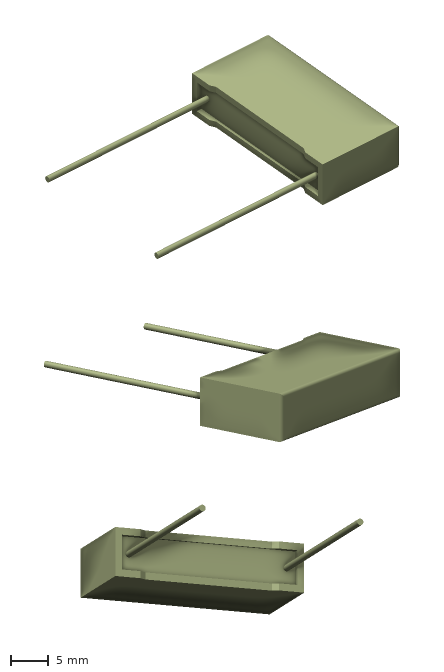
import cadquery as cq

total_length = 40.6
case_width = 26.8
case_height = 6.7
case_depth = 13.5
wall = 0.97
back_edge_radius = 0.5

relief_depth = 0.45
relief_mouth_width = 19.65
relief_floor_width = 17.95

fill_recess = 0.8
lead_diameter = 0.9
lead_spacing = 22.37

fill_front = fill_recess
fill_back = case_depth - wall
lead_tip = case_depth - total_length


def block(width, height, y_front, y_back):
    """Box centred on X and Z, reaching from y_front to y_back."""
    depth = y_back - y_front
    return cq.Workplane("XY").box(width, depth, height).translate((0, y_front + depth / 2, 0))


def cavity(y_front):
    """Inside space of the case, from y_front to the back wall."""
    return block(case_width - 2 * wall, case_height - 2 * wall, y_front, fill_back)


def rim_relief():
    """Trapezoid cut that passes through both long walls at the open rim."""
    return (
        cq.Workplane("XY")
        .polyline([
            (-relief_mouth_width / 2, 0),
            (relief_mouth_width / 2, 0),
            (relief_floor_width / 2, relief_depth),
            (-relief_floor_width / 2, relief_depth),
        ])
        .close()
        .extrude(case_height / 2, both=True)
    )


def make_case():
    """Open box with rounded back edges and a relieved rim."""
    shell = block(case_width, case_height, 0, case_depth)
    shell = shell.faces(">Y").edges().fillet(back_edge_radius)
    return shell.cut(cavity(0)).cut(rim_relief())


def make_fill():
    """Resin that fills the cavity up to a level below the rim."""
    return cavity(fill_front)


def make_lead(x):
    """Round wire standing on the resin face."""
    wire = cq.Workplane("XZ", origin=(x, fill_front, 0)).circle(lead_diameter / 2)
    return wire.extrude(fill_front - lead_tip)


case = make_case()
fill = make_fill()
leads = [make_lead(side * lead_spacing / 2) for side in (-1, 1)]

result = cq.Compound.makeCompound([case.val(), fill.val(), *[lead.val() for lead in leads]])